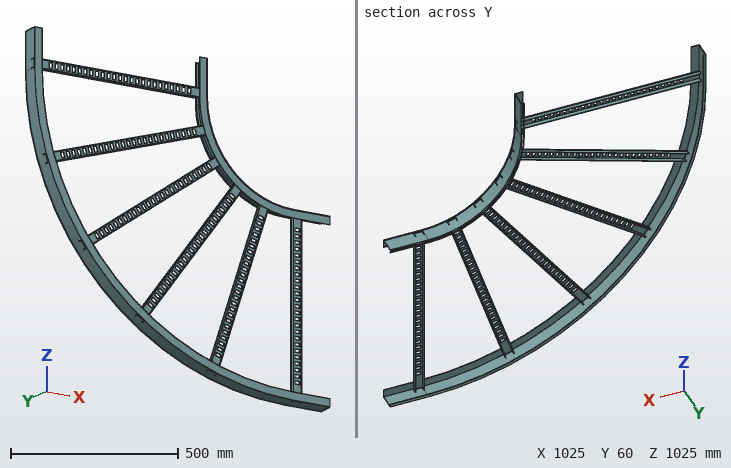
import cadquery as cq
import math

outer_radius = 900.0
inner_radius = 300.0
straight_length = 125.0

rail_depth = 60.0
sheet = 2.0
flange_width = 27.0
hook_width = 10.0
hook_depth = 8.0
hook_crest = 3.5
lip_length = 8.5

rung_count = 6
rung_width = 30.0
rung_depth = 15.0
rung_wall = 2.0
rung_front = 5.0
slot_count = 25
slot_pitch = 20.0
slot_length = 17.0
slot_width = 10.0

mid_radius = (inner_radius + outer_radius) / 2
inner_seat = inner_radius + sheet
outer_seat = outer_radius - sheet


def rail_section(web_radius, inward):
    """Rail section in the X-Y plane; `inward` is the sign of X from the web towards the rungs."""
    hook_start = rail_depth - hook_depth
    lip_end = rail_depth - lip_length
    bend_outside = hook_width - hook_crest
    bend_inside = bend_outside - sheet
    bend_y = rail_depth - bend_outside

    def at(offset, y):
        """Point at a distance `offset` from the outside of the web towards the rungs."""
        return (-web_radius + inward * offset, y)

    def on_bend(radius):
        """Middle of the quarter arc of this radius between the crest and the lip of the hook."""
        reach = radius * math.sqrt(0.5)
        return at(hook_crest + reach, bend_y + reach)

    return (
        cq.Workplane("XY")
        .moveTo(*at(0, 0))
        .lineTo(*at(0, hook_start))
        .lineTo(*at(hook_crest, rail_depth))
        .threePointArc(on_bend(bend_outside), at(hook_width, bend_y))
        .lineTo(*at(hook_width, lip_end))
        .lineTo(*at(hook_width - sheet, lip_end))
        .lineTo(*at(hook_width - sheet, bend_y))
        .threePointArc(on_bend(bend_inside), at(hook_crest, rail_depth - sheet))
        .lineTo(*at(sheet, hook_start))
        .lineTo(*at(sheet, sheet))
        .lineTo(*at(flange_width, sheet))
        .lineTo(*at(flange_width, 0))
        .close()
    )


def rail(web_radius, inward):
    """One side rail: a straight end, a quarter bend and a second straight end."""
    upright = rail_section(web_radius, inward).extrude(straight_length)
    bend = rail_section(web_radius, inward).revolve(90, (0, 0, 0), (0, -1, 0))
    level = upright.mirror("XY").rotate((0, 0, 0), (0, 1, 0), -90)
    return upright.union(bend).union(level)


def rung(start, end):
    """A rung lying along -X, between the distances `start` and `end` from the origin."""
    length = end - start
    middle = -(start + end) / 2
    body = cq.Workplane("XY").box(length, rung_depth, rung_width, centered=(True, False, True))
    hollow = cq.Workplane("XY").box(
        length, rung_depth - rung_wall, rung_width - 2 * rung_wall, centered=(True, False, True)
    )
    body = body.cut(hollow.translate((0, rung_wall, 0))).translate((middle, rung_front, 0))
    slots = (
        cq.Workplane("XZ")
        .center(-mid_radius, 0)
        .rarray(slot_pitch, 1, slot_count, 1)
        .rect(slot_width, slot_length)
        .extrude(-(rung_front + rung_wall))
    )
    return body.cut(slots)


outer_rail = rail(outer_radius, 1)
inner_rail = rail(inner_radius, -1)

end_rung = rung(inner_seat, outer_seat).translate((0, 0, rung_width / 2))
rungs = [end_rung, end_rung.mirror("XY").rotate((0, 0, 0), (0, 1, 0), -90)]

corner_reach = math.sqrt(outer_seat**2 - (rung_width / 2) ** 2)
radial_rung = rung(inner_seat, corner_reach)
rung_angle = 90.0 / (rung_count - 1)
for index in range(1, rung_count - 1):
    rungs.append(radial_rung.rotate((0, 0, 0), (0, 1, 0), -index * rung_angle))

result = cq.Compound.makeCompound(
    [outer_rail.val(), inner_rail.val(), *[body.val() for body in rungs]]
)